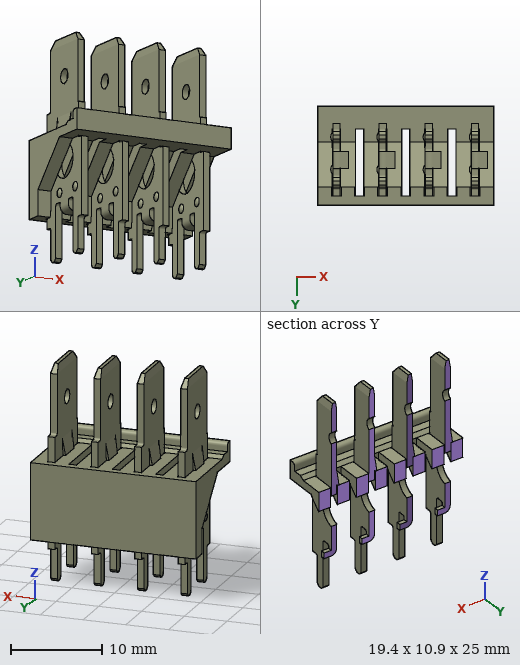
import cadquery as cq
import math


blade_count = 4
pitch = 5.08

housing_length = 19.35
housing_back = 5.0
housing_top = 8.95
foot_front = 2.98
foot_height = 2.98
rail_front = -5.9
rail_lip_back = -5.02
rail_bottom = 7.9
rail_ledge = 9.3
rail_top = 10.32
rail_lip_radius = 0.45
ramp_start = -3.38
ramp_end = -3.95

slot_width = 0.88
slot_back_top = 4.05
slot_back_bottom = 3.95
slot_flare = 0.1
slot_flare_height = 1.0

blade_thickness = 0.8
blade_top = 19.85
blade_bottom = -5.15
tongue_half_width = 3.15
tongue_bevel = 0.98
tongue_corner = 0.82
tongue_tip_thickness = 0.45
neck_top = 11.82
neck_back = 3.95
neck_front = -3.3
body_front = -4.0
body_front_top = 7.82
body_bottom = -1.15
leg_inner = 1.95
leg_outer = 3.1
leg_tip_chamfer = 0.35
notch_top = 1.3
corner_radius = 0.25

tongue_hole_diameter = 1.65
tongue_hole_height = 15.35
body_hole_diameter = 4.0
body_hole_height = 5.85
foot_tab_half_width = 0.92
foot_tab_reach = 0.95
bump_radius = 0.52
bump_height = 0.22
bump_level = 2.38
bump_positions = (1.08, -2.5)
stop_top = 10.95
stop_top_half_width = 1.52
stop_bottom_half_width = 1.35
stop_depth = 0.3


def row_positions(count, spacing):
    """X positions of a row that is centred on the origin."""
    return [(i - (count - 1) / 2) * spacing for i in range(count)]


def housing_profile():
    """Side outline of the foot, the sloping underside and the front rail with its rounded lip."""
    slope_run = rail_bottom - foot_height
    arc_inset = rail_lip_radius * (1 - math.sqrt(0.5))
    return (
        cq.Workplane("YZ")
        .moveTo(housing_back, 0)
        .lineTo(housing_back, housing_top)
        .lineTo(ramp_start, housing_top)
        .lineTo(ramp_end, rail_ledge)
        .lineTo(rail_lip_back, rail_ledge)
        .lineTo(rail_lip_back, rail_top - rail_lip_radius)
        .threePointArc(
            (rail_lip_back - arc_inset, rail_top - arc_inset),
            (rail_lip_back - rail_lip_radius, rail_top),
        )
        .lineTo(rail_front, rail_top)
        .lineTo(rail_front, rail_bottom)
        .lineTo(foot_front - slope_run, rail_bottom)
        .lineTo(foot_front, foot_height)
        .lineTo(foot_front, 0)
        .close()
    )


def slot_cutter(x):
    """Slot from the ramp to a slightly leaning back wall, flared near the underside."""
    half = slot_width / 2
    mouth = half + slot_flare
    width_points = [
        (x - mouth, 0),
        (x - half, slot_flare_height),
        (x - half, housing_top),
        (x + half, housing_top),
        (x + half, slot_flare_height),
        (x + mouth, 0),
    ]
    length_points = [
        (ramp_start, 0),
        (ramp_start, housing_top),
        (slot_back_top, housing_top),
        (slot_back_bottom, 0),
    ]
    width_shape = cq.Workplane("XZ").polyline(width_points).close().extrude(housing_back, both=True)
    length_shape = cq.Workplane("YZ").polyline(length_points).close().extrude(housing_length / 2, both=True)
    return width_shape.intersect(length_shape)


def make_housing():
    body = housing_profile().extrude(housing_length / 2, both=True)
    slot_count = 2 * blade_count - 1
    for x in row_positions(slot_count, pitch / 2):
        body = body.cut(slot_cutter(x))
    return body


def blade_sheet():
    """Flat blade: tongue, neck, body and two solder legs, before the bends and bevels."""
    leg_tip_outer = leg_outer - leg_tip_chamfer
    leg_tip_inner = leg_inner + leg_tip_chamfer
    leg_chamfer_top = blade_bottom + leg_tip_chamfer
    back_side = [
        (leg_inner, notch_top),
        (leg_inner, leg_chamfer_top),
        (leg_tip_inner, blade_bottom),
        (leg_tip_outer, blade_bottom),
        (leg_outer, leg_chamfer_top),
        (leg_outer, body_bottom),
        (neck_back, body_bottom),
        (neck_back, neck_top),
        (tongue_half_width, neck_top),
        (tongue_half_width, blade_top - tongue_bevel),
        (tongue_half_width - tongue_corner, blade_top),
    ]
    front_side = [
        (-tongue_half_width + tongue_corner, blade_top),
        (-tongue_half_width, blade_top - tongue_bevel),
        (-tongue_half_width, neck_top),
        (neck_front, neck_top),
        (neck_front, body_front_top),
        (body_front, body_front_top),
        (body_front, body_bottom),
        (-leg_outer, body_bottom),
        (-leg_outer, leg_chamfer_top),
        (-leg_tip_outer, blade_bottom),
        (-leg_tip_inner, blade_bottom),
        (-leg_inner, leg_chamfer_top),
        (-leg_inner, notch_top),
    ]
    foot_tab = [
        (-foot_tab_half_width, notch_top),
        (-foot_tab_half_width, blade_thickness),
        (foot_tab_half_width, blade_thickness),
        (foot_tab_half_width, notch_top),
    ]
    outline = cq.Workplane("YZ").polyline(back_side + front_side + foot_tab).close()
    sheet = outline.extrude(blade_thickness / 2, both=True)
    rounded_corners = [
        (leg_inner, notch_top),
        (foot_tab_half_width, notch_top),
        (-foot_tab_half_width, notch_top),
        (-leg_inner, notch_top),
        (leg_outer, body_bottom),
        (-leg_outer, body_bottom),
        (tongue_half_width, neck_top),
        (body_front, body_front_top),
    ]
    for y, z in rounded_corners:
        sheet = sheet.edges(cq.selectors.NearestToPointSelector((0, y, z))).fillet(corner_radius)
    return sheet


def tongue_bevel_cutter(side):
    """Wedge that thins one face of the tongue towards its tip; side is -1 or 1."""
    half = blade_thickness / 2
    points = [
        (side * half, blade_top - tongue_bevel),
        (side * half, blade_top),
        (side * tongue_tip_thickness / 2, blade_top),
    ]
    return cq.Workplane("XZ").polyline(points).close().extrude(tongue_half_width, both=True)


def hole_cutter(diameter, height):
    """Round hole through the sheet, on the blade centre line."""
    centre_on_face = cq.Workplane("YZ", origin=(-blade_thickness / 2, 0, height))
    return centre_on_face.circle(diameter / 2).extrude(blade_thickness)


def bent_foot():
    """Foot tab turned towards +X, with a round outer bend as large as the sheet is thick."""
    half = blade_thickness / 2
    bend_middle = blade_thickness * math.sqrt(0.5)
    profile = (
        cq.Workplane("XZ")
        .moveTo(-half, blade_thickness)
        .threePointArc((half - bend_middle, blade_thickness - bend_middle), (half, 0))
        .lineTo(half + foot_tab_reach, 0)
        .lineTo(half + foot_tab_reach, blade_thickness)
        .close()
    )
    return profile.extrude(foot_tab_half_width, both=True)


def bump(y):
    """Spherical cap standing out of the -X face."""
    sphere_radius = (bump_radius**2 + bump_height**2) / (2 * bump_height)
    face = -blade_thickness / 2
    centre_x = face - bump_height + sphere_radius
    ball = cq.Workplane("XY").sphere(sphere_radius).translate((centre_x, y, bump_level))
    centre_on_face = cq.Workplane("YZ", origin=(face, y, bump_level))
    outside = centre_on_face.circle(2 * bump_radius).extrude(-2 * bump_height)
    return ball.intersect(outside)


def stop_wedge():
    """Barb on the -X face that deepens downwards and rests on the top of the housing."""
    face = -blade_thickness / 2
    wedge = (
        cq.Workplane("XZ")
        .polyline([(face, stop_top), (face - stop_depth, housing_top), (face, housing_top)])
        .close()
        .extrude(stop_top_half_width, both=True)
    )
    taper = (
        cq.Workplane("YZ")
        .polyline([
            (-stop_top_half_width, stop_top),
            (stop_top_half_width, stop_top),
            (stop_bottom_half_width, housing_top),
            (-stop_bottom_half_width, housing_top),
        ])
        .close()
        .extrude(face - stop_depth)
    )
    return wedge.intersect(taper)


def make_blade():
    body = blade_sheet()
    for side in (-1, 1):
        body = body.cut(tongue_bevel_cutter(side))
    body = body.cut(hole_cutter(tongue_hole_diameter, tongue_hole_height))
    body = body.cut(hole_cutter(body_hole_diameter, body_hole_height))
    body = body.union(bent_foot())
    for y in bump_positions:
        body = body.union(bump(y))
    return body.union(stop_wedge())


housing = make_housing()
blades = [make_blade().translate((x, 0, 0)) for x in row_positions(blade_count, pitch)]

result = cq.Compound.makeCompound([housing.val(), *[blade.val() for blade in blades]])